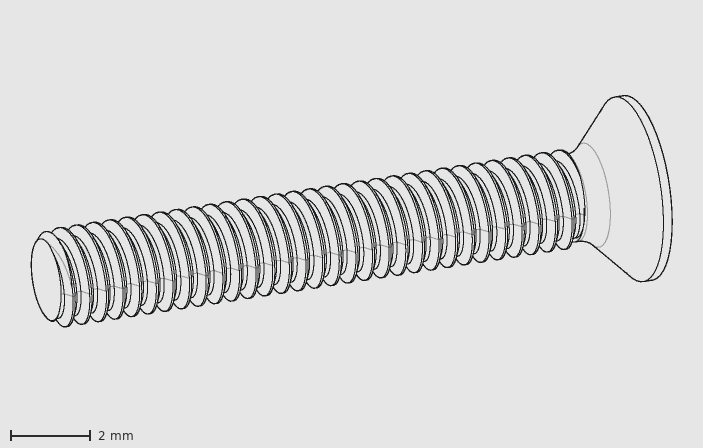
import cadquery as cq
import math


screw_length = 16.0
head_radius = 2.35
rim_thickness = 0.24
cone_slope = math.radians(45)
neck_radius = 1.1
neck_fillet_radius = 0.75
thread_start = 1.89
thread_radius = 1.25
counted_turns = 32
counted_turns_length = 14.4
pitch = counted_turns_length / counted_turns
tip_radius = 1.04

flank_angle = math.radians(30)
crest_width = pitch / 8
root_flat = pitch / 4
ridge_width = pitch - root_flat
thread_depth = (ridge_width - crest_width) / 2 / math.tan(flank_angle)
root_radius = thread_radius - thread_depth
ridge_embed = 0.05
trim_clearance = 0.16

pitches_before_ridge = 3
ridge_start = pitches_before_ridge * pitch
ridge_turns = math.ceil((screw_length - ridge_start) / pitch)


def make_head():
    """Rim, 45 degree cone and a fillet that runs smoothly into the neck."""
    half_slope = cone_slope / 2
    fillet_top_radius = neck_radius + neck_fillet_radius * (1 - math.cos(cone_slope))
    fillet_top = rim_thickness + (head_radius - fillet_top_radius) / math.tan(cone_slope)
    fillet_end = fillet_top + neck_fillet_radius * math.sin(cone_slope)
    fillet_middle = (
        neck_radius + neck_fillet_radius * (1 - math.cos(half_slope)),
        fillet_end - neck_fillet_radius * math.sin(half_slope),
    )
    return (
        cq.Workplane("XZ")
        .lineTo(head_radius, 0)
        .lineTo(head_radius, rim_thickness)
        .lineTo(fillet_top_radius, fillet_top)
        .threePointArc(fillet_middle, (neck_radius, fillet_end))
        .lineTo(neck_radius, thread_start)
        .lineTo(0, thread_start)
        .close()
        .revolve(360, (0, 0), (0, 1))
    )


def make_ridge_turn():
    """First turn of a right-handed helical ridge with a flat crest."""
    base_radius = root_radius - ridge_embed
    base_width = ridge_width + 2 * ridge_embed * math.tan(flank_angle)
    path = cq.Wire.makeHelix(pitch, pitch, root_radius, cq.Vector(0, 0, ridge_start))
    return (
        cq.Workplane("XZ")
        .moveTo(base_radius, ridge_start - base_width / 2)
        .lineTo(thread_radius, ridge_start - crest_width / 2)
        .lineTo(thread_radius, ridge_start + crest_width / 2)
        .lineTo(base_radius, ridge_start + base_width / 2)
        .close()
        .sweep(cq.Workplane(path), isFrenet=True)
    )


def make_thread_limits():
    """Solid that trims the ridge square at the neck and bevels it 45 degrees at the tip."""
    clearance_radius = thread_radius + trim_clearance
    bevel_length = clearance_radius - tip_radius
    return (
        cq.Workplane("XY", origin=(0, 0, thread_start))
        .circle(clearance_radius)
        .extrude(screw_length - thread_start)
        .faces(">Z")
        .chamfer(bevel_length)
    )


def make_thread():
    """Stack of ridge turns joined end to end around the core."""
    core = cq.Workplane("XY").circle(root_radius).extrude(screw_length)
    limits = make_thread_limits()
    first_turn = make_ridge_turn()
    turns = []
    for index in range(ridge_turns):
        turn = first_turn.translate((0, 0, index * pitch))
        turns.append(turn.intersect(limits).val())
    return cq.Workplane(core.val().fuse(*turns))


screw = make_head().union(make_thread()).solids()
result = screw.rotate((0, 0, 0), (1, 0, 0), 90)